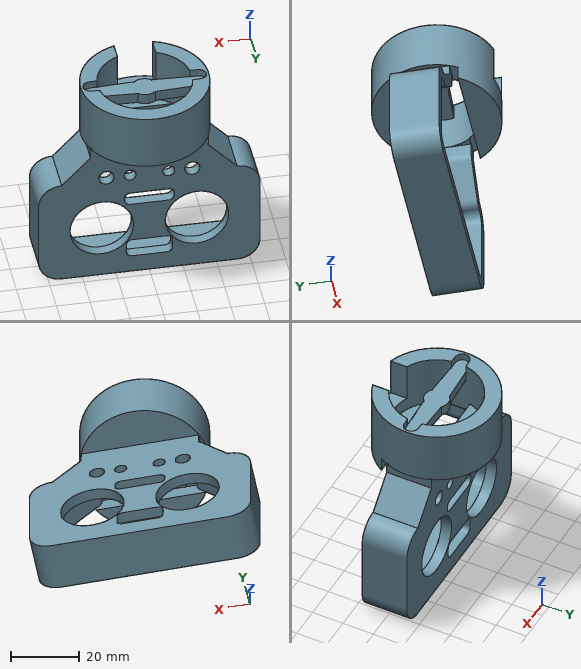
import cadquery as cq
import math

frame_width = 65.8
frame_depth = 14.7
wall = 3.4
corner_radius = 6.7
shoulder_height = 34.0
neck_half_width = 17.5
neck_start = 42.95
shoulder_flat = 0.1
slope_extra = 0.45
back_front_y = frame_depth / 2 - wall

collar_radius = 38.1 / 2
bore_radius = 14.0
collar_bottom = 46.45
collar_top = 63.5
floor_thickness = 3.0
floor_top = collar_bottom + floor_thickness

lip_back_y = -9.7
lip_bottom = 41.8
lip_top = collar_bottom
window_width = 11.4
window_bottom = 50.85

bar_bottom = 57.9
bar_top = 61.15
bar_half_length = 18.3
bar_end_radius = 2.25
bar_middle_half_width = 3.0
bar_hub_radius = 3.9

large_hole_radius = 9.4
large_hole_x = 14.15
large_hole_z = 17.0
small_hole_z = 35.05
small_holes = [(12.75, 2.25), (5.7, 1.8)]
slots = [(26.45, 14.85, 4.1, 1.7), (8.5, 13.75, 5.85, 1.7)]


def frame_outline(slope_drop=0):
    """Outline in XZ up to the collar; slope_drop lowers the sloping shoulders."""
    slope_x = frame_width / 2 - corner_radius - shoulder_flat - slope_drop
    slope_top = neck_start - slope_drop
    half = frame_width / 2
    inset = half - corner_radius
    diagonal = corner_radius * math.sqrt(0.5)
    low = corner_radius
    high = shoulder_height - corner_radius
    return (
        cq.Workplane("XZ", origin=(0, frame_depth / 2, 0))
        .moveTo(-inset, 0)
        .lineTo(inset, 0)
        .threePointArc((inset + diagonal, low - diagonal), (half, low))
        .lineTo(half, high)
        .threePointArc((inset + diagonal, high + diagonal), (inset, shoulder_height))
        .lineTo(slope_x, shoulder_height)
        .lineTo(neck_half_width, slope_top)
        .lineTo(neck_half_width, floor_top)
        .lineTo(-neck_half_width, floor_top)
        .lineTo(-neck_half_width, slope_top)
        .lineTo(-slope_x, shoulder_height)
        .lineTo(-inset, shoulder_height)
        .threePointArc((-inset - diagonal, high + diagonal), (-half, high))
        .lineTo(-half, low)
        .threePointArc((-inset - diagonal, low - diagonal), (-inset, 0))
        .close()
    )


def cylinder(radius, bottom, top):
    return cq.Workplane("XY", origin=(0, 0, bottom)).circle(radius).extrude(top - bottom)


def wide_box(y_min, y_max, bottom, top):
    """Box wider than the collar, bounded by the given Y and Z limits."""
    return (
        cq.Workplane("XY", origin=(0, (y_min + y_max) / 2, bottom))
        .rect(frame_width, y_max - y_min)
        .extrude(top - bottom)
    )


def make_frame():
    tray = frame_outline().extrude(frame_depth)
    cavity = frame_outline(slope_extra).offset2D(-wall).extrude(frame_depth)
    return tray.cut(cavity.translate((0, -wall, 0)))


def make_collar():
    ring = cylinder(collar_radius, collar_bottom, collar_top)
    ring = ring.cut(cylinder(bore_radius, collar_bottom, collar_top))
    disc = cylinder(collar_radius, lip_bottom, floor_top)
    floor = disc.intersect(wide_box(back_front_y, collar_radius, collar_bottom, floor_top))
    lip = disc.intersect(wide_box(-collar_radius, lip_back_y, lip_bottom, lip_top))
    window = (
        cq.Workplane("XY", origin=(0, -collar_radius / 2, window_bottom))
        .rect(window_width, collar_radius)
        .extrude(collar_top - window_bottom)
    )
    return ring.union(floor).union(lip).cut(window)


def make_bar(bottom, top):
    """Bar tapering from the hub to rounded ends."""
    end_x = bar_half_length - bar_end_radius
    blade = (
        cq.Workplane("XY", origin=(0, 0, bottom))
        .moveTo(-end_x, -bar_end_radius)
        .lineTo(0, -bar_middle_half_width)
        .lineTo(end_x, -bar_end_radius)
        .threePointArc((bar_half_length, 0), (end_x, bar_end_radius))
        .lineTo(0, bar_middle_half_width)
        .lineTo(-end_x, bar_end_radius)
        .threePointArc((-bar_half_length, 0), (-end_x, -bar_end_radius))
        .close()
        .extrude(top - bottom)
    )
    return blade.union(cylinder(bar_hub_radius, bottom, top))


def hole_pair(x, z, radius):
    return (
        cq.Workplane("XZ", origin=(0, frame_depth / 2, 0))
        .pushPoints([(-x, z), (x, z)])
        .circle(radius)
        .extrude(wall)
    )


def rounded_slot(z, width, height, radius):
    return (
        cq.Workplane("XZ", origin=(0, frame_depth / 2, z))
        .rect(width, height)
        .extrude(wall)
        .edges("|Y")
        .fillet(radius)
    )


result = make_frame().union(make_collar())

passage = cylinder(bore_radius, lip_bottom, floor_top)
result = result.cut(passage.intersect(wide_box(lip_back_y, back_front_y, lip_bottom, floor_top)))

result = result.cut(make_bar(bar_top, collar_top))
result = result.union(make_bar(bar_bottom, bar_top))

result = result.cut(hole_pair(large_hole_x, large_hole_z, large_hole_radius))
for hole_x, hole_radius in small_holes:
    result = result.cut(hole_pair(hole_x, small_hole_z, hole_radius))
for slot in slots:
    result = result.cut(rounded_slot(*slot))